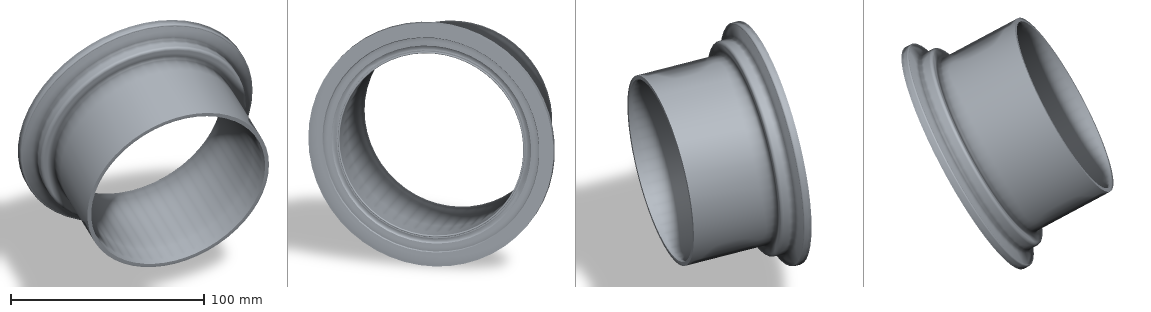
import cadquery as cq

length = 59.5
flange_radius = 130 / 2
hub_radius = 115.0 / 2
tube_radius = 101.7 / 2
bore_radius = 97.4 / 2

rim_width = 3.2
rim_blend_end = (4.0, 64.1)
rim_blend_mid = (3.84, 64.7)
taper_end = (6.4, 58.4)
hub_blend_mid = (7.0, 57.7)
hub_start = 7.9

hub_end = 13.9
hub_edge_radius = 1.5
tube_fillet_radius = 1.4

recess_radius = 115.0 / 2
recess_depth = 0.8
recess_floor_radius = 114.3 / 2

groove_outer_radius = 52.9
groove_inner_radius = 50.3
groove_depth = 0.8
lip_outer_radius = 49.7
lip_height = 0.5

groove_bottom = (recess_depth + groove_depth, (groove_outer_radius + groove_inner_radius) / 2)
groove_inner_x = recess_depth + lip_height
lip_round = (lip_outer_radius - bore_radius) / 2
lip_end = recess_depth + lip_round

profile = (
    cq.Workplane("XY")
    .moveTo(0, recess_radius)
    .lineTo(0, flange_radius)
    .lineTo(rim_width, flange_radius)
    .threePointArc(rim_blend_mid, rim_blend_end)
    .lineTo(*taper_end)
    .threePointArc(hub_blend_mid, (hub_start, hub_radius))
    .lineTo(hub_end - hub_edge_radius, hub_radius)
    .radiusArc((hub_end, hub_radius - hub_edge_radius), hub_edge_radius)
    .lineTo(hub_end, tube_radius + tube_fillet_radius)
    .radiusArc((hub_end + tube_fillet_radius, tube_radius), -tube_fillet_radius)
    .lineTo(length, tube_radius)
    .lineTo(length, bore_radius)
    .lineTo(lip_end, bore_radius)
    .threePointArc((recess_depth, bore_radius + lip_round), (lip_end, lip_outer_radius))
    .lineTo(groove_inner_x, groove_inner_radius)
    .threePointArc(groove_bottom, (recess_depth, groove_outer_radius))
    .lineTo(recess_depth, recess_floor_radius)
    .close()
)

result = profile.revolve(360, (0, 0, 0), (1, 0, 0))